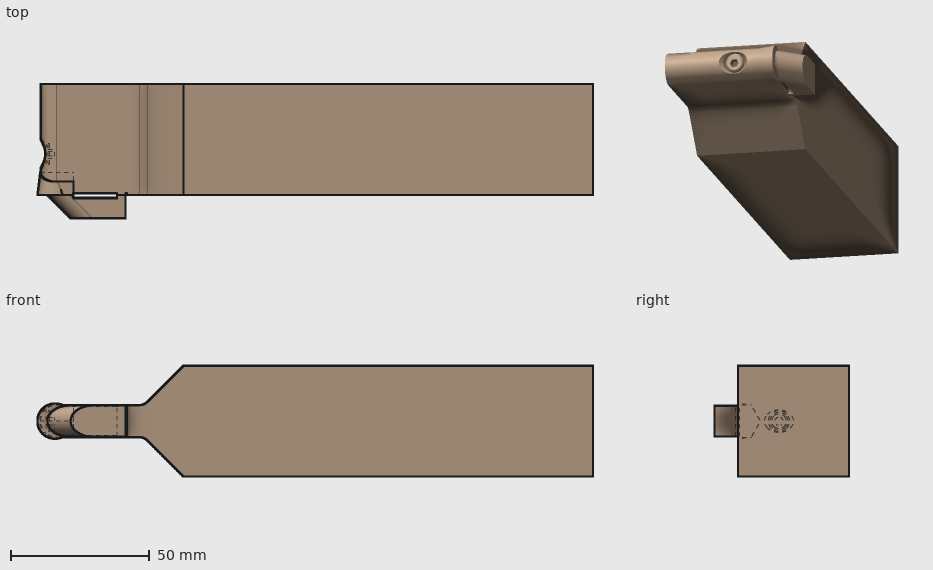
import cadquery as cq
import math

length = 200.0
depth = 40.0
shank_height = 40.0
blade_half = 5.8
shank_start = 52.5
neck_radius = 4.0
nose_center = 7.0

tip_radius = 6.5
relief_angle = 7.0
insert_end = 13.0
seat_edge = 4.8
seat_slope = 30.0
seat_apex = seat_edge + blade_half * math.tan(math.radians(seat_slope))

arm_half = 5.5
arm_tip = 3.5
arm_end = 31.8
arm_thickness = 8.5
foot_start = 28.5
slit_front = -0.8
slit_back = 0.5
slit_end = 32.2
slit_chamfer = 0.5

screw_y = 14.8
recess_mouth_radius = 5.2
recess_floor_radius = 3.8
recess_depth = 2.0
screw_radius = 3.2
screw_chamfer = 0.5
screw_gap_depth = 1.2
socket_size = 3.2
socket_depth = 3.0


def prism_along_y(sketch, start, end):
    """Extrude an XZ-plane sketch and place it between two Y positions."""
    return sketch.extrude(-(end - start)).translate((0, start, 0))


def box_between(low, high):
    size = [b - a for a, b in zip(low, high)]
    return cq.Workplane("XY").box(*size, centered=False).translate(low)


def make_seat():
    """Prism along X filling the V-shaped insert seat."""
    side_edge = seat_apex - tip_radius * math.tan(math.radians(seat_slope))
    return (
        cq.Workplane("YZ")
        .polyline([(0, -tip_radius), (side_edge, -tip_radius), (seat_apex, 0),
                   (side_edge, tip_radius), (0, tip_radius)])
        .close()
        .extrude(insert_end)
    )


def make_insert():
    """Relieved round tip and tail, trimmed underneath by the V seat."""
    root_radius = tip_radius - seat_apex * math.tan(math.radians(relief_angle))
    tip = cq.Workplane(cq.Solid.makeCone(
        tip_radius, root_radius, seat_apex, cq.Vector(tip_radius, 0, 0), cq.Vector(0, 1, 0)))
    tail = box_between((tip_radius, 0, -blade_half), (insert_end, seat_apex, blade_half))

    return tip.union(tail).intersect(make_seat())


def make_blank():
    """Square shank tapering at 45 degrees to a round-nosed blade."""
    half = shank_height / 2
    neck = shank_start - (half - blade_half)
    outline = (
        cq.Workplane("XZ")
        .moveTo(nose_center, blade_half)
        .lineTo(neck, blade_half)
        .lineTo(shank_start, half)
        .lineTo(length, half)
        .lineTo(length, -half)
        .lineTo(shank_start, -half)
        .lineTo(neck, -blade_half)
        .lineTo(nose_center, -blade_half)
        .threePointArc((nose_center - blade_half, 0), (nose_center, blade_half))
        .close()
    )
    neck_edges = cq.selectors.BoxSelector(
        (neck - neck_radius, 0, -half), (neck + neck_radius, depth, half))
    return prism_along_y(outline, 0, depth).edges("|Y").edges(neck_edges).fillet(neck_radius)


def make_arm():
    """Clamp arm with a round leading side sloping back at 45 degrees."""
    arm = (
        cq.Workplane("XY", origin=(0, 0, -arm_half))
        .polyline([(arm_tip, 0), (arm_tip + arm_thickness, -arm_thickness),
                   (arm_end, -arm_thickness), (arm_end, 0)])
        .close()
        .extrude(2 * arm_half)
    )
    slope = cq.Vector(1, -1, 0).normalized()
    across = cq.Vector(1, 1, 0).normalized()
    envelope = (
        cq.Workplane(cq.Plane((arm_tip, 0, 0), across, slope))
        .moveTo(arm_half, arm_half)
        .threePointArc((0, 0), (arm_half, -arm_half))
        .lineTo(arm_end, -arm_half)
        .lineTo(arm_end, arm_half)
        .close()
        .extrude(arm_end, both=True)
    )
    arm = arm.intersect(envelope)
    clearance = box_between((insert_end, slit_front, -arm_half), (foot_start, 0, arm_half))
    chamfer_wedge = (
        cq.Workplane("YZ", origin=(insert_end, 0, 0))
        .polyline([(slit_front, arm_half), (slit_front - slit_chamfer, arm_half),
                   (slit_front, arm_half - slit_chamfer)])
        .close()
        .extrude(foot_start - insert_end)
    )
    return arm.cut(clearance).cut(chamfer_wedge).cut(chamfer_wedge.mirror("XY"))


def cut_screw_recess(holder):
    """Conical recess around a screw head with a hexagon socket."""
    mouth_x = nose_center - blade_half
    floor_x = mouth_x + recess_depth
    axis = cq.Vector(1, 0, 0)
    mouth = cq.Solid.makeCone(
        recess_mouth_radius, recess_floor_radius, recess_depth,
        cq.Vector(mouth_x, screw_y, 0), axis)
    floor_plane = cq.Workplane("YZ", origin=(floor_x, screw_y, 0))
    gap = floor_plane.circle(recess_floor_radius).extrude(screw_gap_depth)
    head = (
        floor_plane.circle(screw_radius).extrude(screw_gap_depth)
        .faces("<X").chamfer(screw_chamfer)
    )
    socket = floor_plane.polygon(6, socket_size).extrude(socket_depth)
    return holder.cut(cq.Workplane(mouth)).cut(gap.cut(head)).cut(socket)


def make_holder():
    """Holder with its clamp arm, insert seat, clamping slit and screw recess."""
    slit_left = box_between((insert_end, 0, -blade_half), (foot_start, slit_back, blade_half))
    slit_right = box_between((arm_end, 0, -blade_half), (slit_end, slit_back, blade_half))
    holder = make_blank().cut(make_seat()).cut(slit_left).cut(slit_right)
    holder = cut_screw_recess(holder)
    return holder.union(make_arm())


insert = make_insert()
holder = make_holder()
result = cq.Compound.makeCompound([holder.val(), insert.val()])